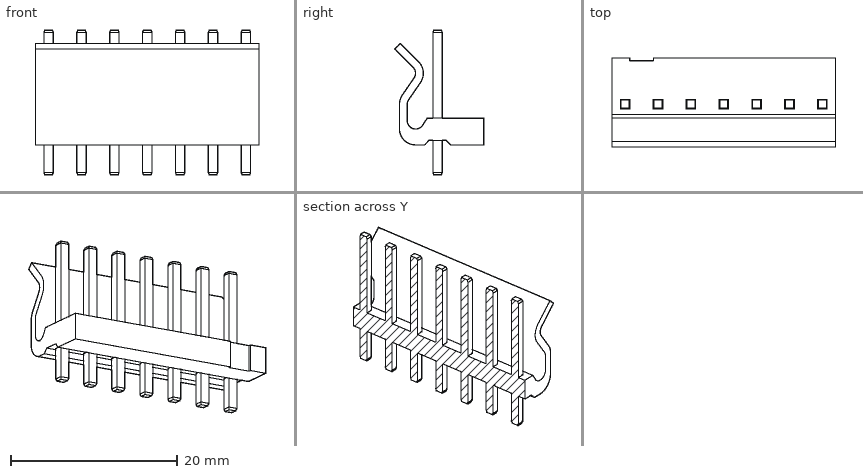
import cadquery as cq
import math


length = 26.95
base_height = 3.24
back_y = 5.58

groove_depth = 0.57
groove_half_roof = 1.02
groove_half_mouth = 1.56

latch_thickness = 0.97
latch_front_y = -4.6
tip_front_y = -5.18
inner_radius = 1.0
outer_radius = inner_radius + latch_thickness
lower_bend_y = latch_front_y + outer_radius
lower_bend_z = 4.9
upper_bend_y = -3.67
upper_bend_z = 8.65
tip_angle = 45.0

trough_edge_y = -1.27
trough_floor_z = 1.95

notch_start = 2.15
notch_width = 2.83
notch_depth = 0.32

pin_count = 7
pin_pitch = 3.95
pin_width = 1.15
pin_top_z = 13.85
pin_bottom_z = -3.59
pin_taper_height = 0.3
pin_taper_inset = 0.1


def polar(center, radius, degrees):
    """Point on a circle in the YZ plane, measured from +Y towards +Z."""
    angle = math.radians(degrees)
    return (center[0] + radius * math.cos(angle), center[1] + radius * math.sin(angle))


def trough_tangent_angle(center):
    """Angle on the trough circle where the line from the base edge touches it."""
    dy = trough_edge_y - center[0]
    dz = base_height - center[1]
    to_edge = math.degrees(math.atan2(dz, dy))
    return to_edge - math.degrees(math.acos(inner_radius / math.hypot(dy, dz)))


def latch_lean(lower, upper):
    """Lean from vertical of the straight strip that is tangent to both bends."""
    dy = upper[0] - lower[0]
    dz = upper[1] - lower[1]
    cross_tangent = math.asin((outer_radius + inner_radius) / math.hypot(dy, dz))
    return math.degrees(cross_tangent + math.atan2(dy, dz))


def make_housing():
    latch_back_y = latch_front_y + latch_thickness
    heel = (lower_bend_y, outer_radius)
    trough = (latch_back_y + inner_radius, trough_floor_z + inner_radius)
    lower = (lower_bend_y, lower_bend_z)
    upper = (upper_bend_y, upper_bend_z)

    trough_end = trough_tangent_angle(trough)
    lean = latch_lean(lower, upper)
    lower_end = 180 - lean
    upper_start = -lean
    upper_end = tip_angle

    inner_tip_start = polar(upper, inner_radius, upper_end)
    tip_direction = upper_end + 90
    tip_run = (tip_front_y - inner_tip_start[0]) / math.cos(math.radians(tip_direction))
    tip_front = polar(inner_tip_start, tip_run, tip_direction)
    tip_back = polar(tip_front, latch_thickness, upper_end)

    profile = (
        cq.Workplane("YZ", origin=(-length / 2, 0, 0))
        .moveTo(back_y, base_height)
        .lineTo(back_y, 0)
        .lineTo(groove_half_mouth, 0)
        .lineTo(groove_half_roof, groove_depth)
        .lineTo(-groove_half_roof, groove_depth)
        .lineTo(-groove_half_mouth, 0)
        .lineTo(lower_bend_y, 0)
        .threePointArc(polar(heel, outer_radius, 225), (latch_front_y, heel[1]))
        .lineTo(latch_front_y, lower_bend_z)
        .threePointArc(
            polar(lower, outer_radius, (180 + lower_end) / 2),
            polar(lower, outer_radius, lower_end),
        )
        .lineTo(*polar(upper, inner_radius, upper_start))
        .threePointArc(
            polar(upper, inner_radius, (upper_start + upper_end) / 2),
            inner_tip_start,
        )
        .lineTo(*tip_front)
        .lineTo(*tip_back)
        .lineTo(*polar(upper, outer_radius, upper_end))
        .threePointArc(
            polar(upper, outer_radius, (upper_start + upper_end) / 2),
            polar(upper, outer_radius, upper_start),
        )
        .lineTo(*polar(lower, inner_radius, lower_end))
        .threePointArc(
            polar(lower, inner_radius, (180 + lower_end) / 2),
            (latch_back_y, lower_bend_z),
        )
        .lineTo(latch_back_y, trough[1])
        .threePointArc(
            polar(trough, inner_radius, (trough_end - 180) / 2),
            polar(trough, inner_radius, trough_end),
        )
        .lineTo(trough_edge_y, base_height)
        .close()
    )
    return profile.extrude(length)


def make_notch():
    return cq.Workplane("XY").box(
        notch_width, notch_depth, base_height, centered=False
    ).translate((notch_start - length / 2, back_y - notch_depth, 0))


def make_pin(x):
    """Square pin whose two ends taper equally on all four sides."""
    shank_bottom_z = pin_bottom_z + pin_taper_height
    shank_height = pin_top_z - pin_bottom_z - 2 * pin_taper_height
    taper_angle = math.degrees(math.atan2(pin_taper_inset, pin_taper_height))
    pin = (
        cq.Workplane("XY", origin=(x, 0, shank_bottom_z))
        .rect(pin_width, pin_width)
        .extrude(shank_height)
    )
    for end in (">Z", "<Z"):
        pin = pin.faces(end).workplane().rect(pin_width, pin_width)
        pin = pin.extrude(pin_taper_height, taper=taper_angle)
    return pin


result = make_housing().cut(make_notch())
for index in range(pin_count):
    pin_x = (index - (pin_count - 1) / 2) * pin_pitch
    result = result.union(make_pin(pin_x))